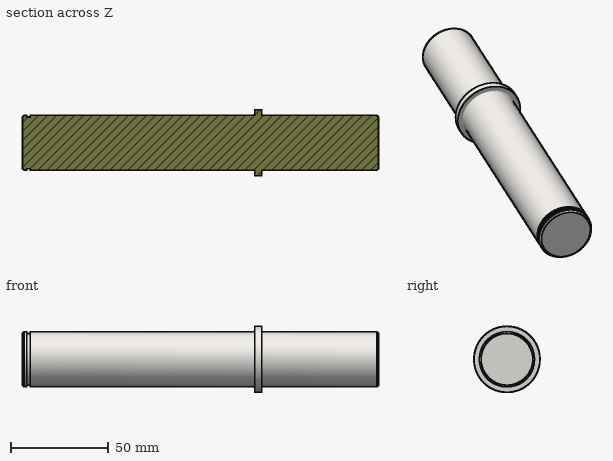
import cadquery as cq

length = 182.9
shaft_diameter = 28.3
end_chamfer = 1.0

collar_diameter = 34.0
collar_width = 3.7
collar_start = 119.2
collar_fillet = 0.5

groove_start = 2.4
groove_width = 1.6
groove_diameter = 26.7

left_end = -length / 2


def disc(distance, width, diameter):
    """Cylinder about X, starting at a distance from the -X end."""
    plane = cq.Workplane("YZ", origin=(left_end + distance, 0, 0))
    return plane.circle(diameter / 2).extrude(width)


def make_groove():
    """Ring of material removed for the retaining ring."""
    outside = disc(groove_start, groove_width, collar_diameter)
    return outside.cut(disc(groove_start, groove_width, groove_diameter))


def make_collar_blend():
    """Concave ring filling the corner between shaft and collar."""
    shaft_radius = shaft_diameter / 2
    collar_face = left_end + collar_start
    profile = (
        cq.Workplane("XY")
        .moveTo(collar_face, 0)
        .lineTo(collar_face, shaft_radius + collar_fillet)
        .radiusArc((collar_face - collar_fillet, shaft_radius), collar_fillet)
        .lineTo(collar_face - collar_fillet, 0)
        .close()
    )
    return profile.revolve(360, (0, 0, 0), (1, 0, 0))


shaft = disc(0, length, shaft_diameter).faces("<X or >X").chamfer(end_chamfer)
collar = disc(collar_start, collar_width, collar_diameter)
result = shaft.union(collar).union(make_collar_blend()).cut(make_groove())